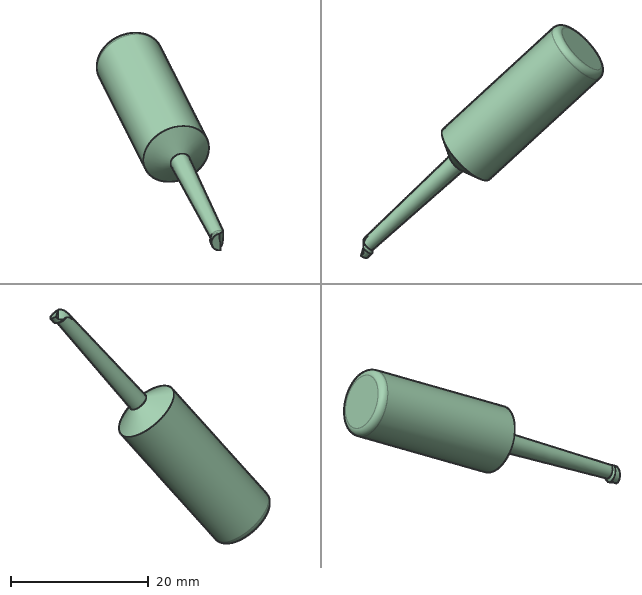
import cadquery as cq

total_length = 46.0
shank_radius = 4.99
shank_length = 24.0
shank_end_round = 1.0
cone_end = 26.0
neck_root_radius = 1.45
neck_tip_radius = 1.05
neck_end = 44.55

head_radius = 1.3
head_center_z = neck_tip_radius - head_radius
head_taper_end = 44.9
front_face_lean = 0.65

relief_start = 43.45
relief_mid = (44.75, 0.7)
relief_end = 45.4


def make_body():
    """Rounded shank, shoulder cone and tapered neck, revolved about X."""
    profile = (
        cq.Workplane("XY")
        .lineTo(0, shank_radius - shank_end_round)
        .radiusArc((shank_end_round, shank_radius), shank_end_round)
        .lineTo(shank_length, shank_radius)
        .lineTo(cone_end, neck_root_radius)
        .lineTo(neck_end, neck_tip_radius)
        .lineTo(neck_end, 0)
        .close()
    )
    return profile.revolve(360, (0, 0, 0), (1, 0, 0))


def make_head():
    """Disc flaring out of the neck, with a front face leaning forward at the bottom."""
    head = (
        cq.Workplane("YZ", origin=(neck_end, 0, 0))
        .circle(neck_tip_radius)
        .workplane(offset=head_taper_end - neck_end)
        .center(0, head_center_z)
        .circle(head_radius)
        .loft(ruled=True)
        .faces(">X")
        .workplane(origin=(head_taper_end, 0, head_center_z))
        .circle(head_radius)
        .extrude(total_length - head_taper_end)
    )
    top = head_center_z + head_radius
    bottom = head_center_z - head_radius
    front_waste = (
        cq.Workplane("XZ")
        .moveTo(total_length, bottom)
        .lineTo(total_length - front_face_lean, top)
        .lineTo(total_length, top)
        .close()
        .extrude(head_radius, both=True)
    )
    return head.cut(front_waste)


def make_relief():
    """Waste beyond the curved clearance, down to the cutting face at Y = 0."""
    outer = shank_radius
    return (
        cq.Workplane("XY")
        .moveTo(relief_start, neck_tip_radius)
        .threePointArc(relief_mid, (relief_end, 0))
        .lineTo(total_length, 0)
        .lineTo(total_length, outer)
        .lineTo(relief_start, outer)
        .close()
        .extrude(outer, both=True)
    )


result = make_body().union(make_head()).cut(make_relief())